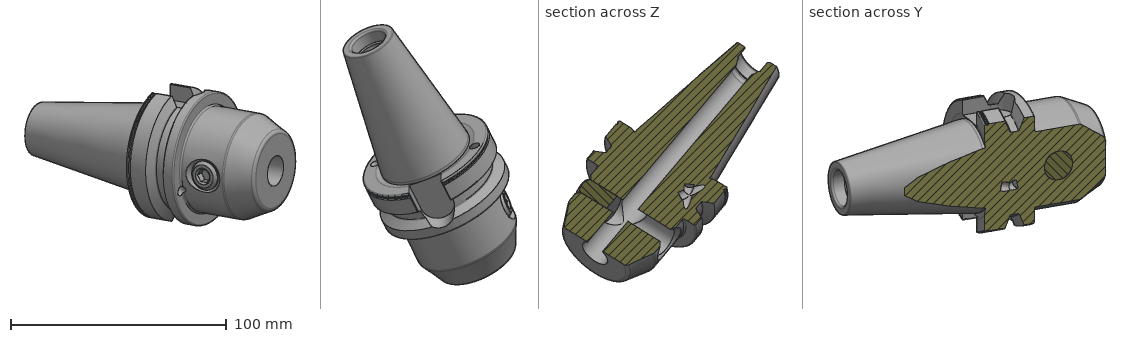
import cadquery as cq
import math


total_length = 128.4
taper_end = 65.6
flange_front = 66.4
flange_back = 92.0
nose_cone_start = 115.2

gauge_radius = 22.2
taper_ratio = 7 / 24
shank_tip_radius = gauge_radius - taper_end * taper_ratio / 2
shank_tip_fillet = 0.4

flange_diameter = 63.0
flange_radius = flange_diameter / 2
flange_fillet = 0.6
recess_radius = 24.9
recess_depth = 0.6

grip_front = 77.2
grip_back = 86.7
grip_floor_radius = 26.5
grip_wall_run = 2.6
grip_fillet = 0.4

ring_center = flange_front + 1.8
ring_top_width = 1.4
ring_floor_width = 0.6
ring_depth = 0.5

nose_radius = 25.0
neck_fillet = 0.8
nose_cone_angle = 25.0
nose_tip_radius = nose_radius - (total_length - nose_cone_start) * math.tan(math.radians(nose_cone_angle))
nose_fillet = 2.0

bore_radius = 7.2
counterbore_radius = 8.6
counterbore_depth = 6.5
mouth_fillet = 1.0
step_radius = 8.0
step_end = 8.0
step_chamfer = counterbore_radius - step_radius
lead_in = 2.6

slot_width = 16.0
slot_floor_height = 22.5
slot_end = 88.6
slot_chamfer = 0.5

coolant_radius = 2.2
front_mouth_radius = 26.6
back_mouth_radius = 26.3
coolant_slope = 30.0
coolant_turn = 20.0

screw_x = 104.3
screw_diameter = 14.0
screw_radius = screw_diameter / 2
screw_face_radius = 5.5
screw_chamfer = screw_radius - screw_face_radius
screw_bottom = 7.7
countersink_diameter = 18.4
countersink_radius = countersink_diameter / 2
hex_flats = 5.9
hex_depth = 4.5
hex_mouth_radius = 4.0

TOLERANCE = 0.001


def is_ring(edge, radius, x):
    """Tells whether an edge is the circle of the given radius around the axis at x."""
    if edge.geomType() != "CIRCLE":
        return False
    return abs(edge.radius() - radius) < TOLERANCE and abs(edge.Center().x - x) < TOLERANCE


def make_turned_blank():
    """Solid of revolution with the taper, flange, gripper groove and nose."""
    outline = [
        (0, 0),
        (0, shank_tip_radius),
        (taper_end, gauge_radius),
        (flange_front + recess_depth, gauge_radius),
        (flange_front, recess_radius),
        (flange_front, flange_radius),
        (ring_center - ring_top_width / 2, flange_radius),
        (ring_center - ring_floor_width / 2, flange_radius - ring_depth),
        (ring_center + ring_floor_width / 2, flange_radius - ring_depth),
        (ring_center + ring_top_width / 2, flange_radius),
        (grip_front, flange_radius),
        (grip_front + grip_wall_run, grip_floor_radius),
        (grip_back - grip_wall_run, grip_floor_radius),
        (grip_back, flange_radius),
        (flange_back, flange_radius),
        (flange_back, nose_radius),
        (nose_cone_start, nose_radius),
        (total_length, nose_tip_radius),
        (total_length, 0),
    ]
    blank = cq.Workplane("XZ").polyline(outline).close().revolve(360, (0, 0, 0), (1, 0, 0))

    rounded_edges = [
        (shank_tip_radius, 0, shank_tip_fillet),
        (flange_radius, flange_front, flange_fillet),
        (grip_floor_radius, grip_front + grip_wall_run, grip_fillet),
        (grip_floor_radius, grip_back - grip_wall_run, grip_fillet),
        (flange_radius, flange_back, flange_fillet),
        (nose_radius, flange_back, neck_fillet),
        (nose_radius, nose_cone_start, nose_fillet),
        (nose_tip_radius, total_length, nose_fillet),
    ]
    for radius, x, fillet in rounded_edges:
        ring = blank.edges().filter(lambda edge: is_ring(edge, radius, x))
        blank = ring.fillet(fillet)
    return blank


def make_bore():
    """Through bore with a stepped counterbore and a rounded mouth at the taper end."""
    mouth_radius = counterbore_radius + mouth_fillet
    arc_reach = mouth_fillet / math.sqrt(2)
    arc_middle = (mouth_fillet - arc_reach, mouth_radius - arc_reach)
    outline = (
        cq.Workplane("XZ")
        .lineTo(0, mouth_radius)
        .threePointArc(arc_middle, (mouth_fillet, counterbore_radius))
        .lineTo(counterbore_depth, counterbore_radius)
        .lineTo(counterbore_depth + step_chamfer, step_radius)
        .lineTo(step_end, step_radius)
        .lineTo(step_end + lead_in, bore_radius)
        .lineTo(total_length, bore_radius)
        .lineTo(total_length, 0)
        .close()
    )
    return outline.revolve(360, (0, 0, 0), (1, 0, 0))


def make_drive_slot():
    """Round-ended slot through the top of the flange, with chamfered long edges."""
    half_width = slot_width / 2
    end_center = slot_end - half_width
    slot = (
        cq.Workplane("XY", origin=(0, 0, slot_floor_height))
        .moveTo(taper_end, -half_width)
        .lineTo(end_center, -half_width)
        .threePointArc((slot_end, 0), (end_center, half_width))
        .lineTo(taper_end, half_width)
        .close()
        .extrude(flange_radius - slot_floor_height)
    )
    corner_height = math.sqrt(flange_radius**2 - half_width**2)
    chamfer_bottom = corner_height - slot_chamfer
    chamfer_rise = flange_radius - chamfer_bottom
    bevel = (
        cq.Workplane("YZ", origin=(flange_front, 0, 0))
        .polyline([
            (-half_width, chamfer_bottom),
            (half_width, chamfer_bottom),
            (half_width + chamfer_rise, flange_radius),
            (-half_width - chamfer_rise, flange_radius),
        ])
        .close()
        .extrude(grip_front + grip_wall_run - flange_front)
    )
    return slot.union(bevel)


def make_coolant_passage():
    """V-shaped passage on the +Y side from the flange front to the neck."""
    slope = math.radians(coolant_slope)
    half_span = (flange_back - flange_front) / 2
    overshoot = 2 * coolant_radius
    leg_length = half_span / math.cos(slope) + overshoot
    passage = cq.Workplane("XY")
    mouths = ((flange_front, front_mouth_radius, 1), (flange_back, back_mouth_radius, -1))
    for mouth_x, mouth_radius, inward in mouths:
        direction = cq.Vector(inward * math.cos(slope), -math.sin(slope), 0)
        start = cq.Vector(mouth_x, mouth_radius, 0) - direction * overshoot
        leg = cq.Solid.makeCylinder(coolant_radius, leg_length + overshoot, start, direction)
        passage = passage.union(cq.Workplane(leg))
    return passage.rotate((0, 0, 0), (1, 0, 0), coolant_turn)


def make_screw_hole():
    """Hole across the nose, countersunk at both ends."""
    sink_depth = countersink_radius - screw_radius
    outline = [
        (0, -nose_radius),
        (countersink_radius, -nose_radius),
        (screw_radius, sink_depth - nose_radius),
        (screw_radius, nose_radius - sink_depth),
        (countersink_radius, nose_radius),
        (0, nose_radius),
    ]
    hole = cq.Workplane("XY").polyline(outline).close().revolve(360, (0, 0, 0), (0, 1, 0))
    return hole.translate((screw_x, 0, 0))


def make_holder():
    slot = make_drive_slot()
    passage = make_coolant_passage()
    holder = make_turned_blank().cut(make_bore()).cut(make_screw_hole())
    for turn in (0, 180):
        holder = holder.cut(slot.rotate((0, 0, 0), (1, 0, 0), turn))
        holder = holder.cut(passage.rotate((0, 0, 0), (1, 0, 0), turn))
    return holder


def make_clamping_screw():
    """Set screw on the -Y side, its face flush with the nose, with a hexagon socket."""
    screw = (
        cq.Workplane("XZ", origin=(screw_x, 0, 0))
        .workplane(offset=screw_bottom)
        .circle(screw_radius)
        .extrude(nose_radius - screw_bottom)
        .faces("<Y")
        .chamfer(screw_chamfer)
    )
    hex_corners = hex_flats / math.cos(math.radians(30))
    socket = (
        cq.Workplane("XZ", origin=(screw_x, -nose_radius, 0))
        .polygon(6, hex_corners)
        .extrude(-hex_depth)
    )
    socket_mouth = cq.Workplane(cq.Solid.makeCone(
        hex_mouth_radius, 0, hex_mouth_radius,
        cq.Vector(screw_x, -nose_radius, 0), cq.Vector(0, 1, 0),
    ))
    return screw.cut(socket).cut(socket_mouth)


holder = make_holder()
clamping_screw = make_clamping_screw()
result = cq.Compound.makeCompound([holder.val(), clamping_screw.val()])